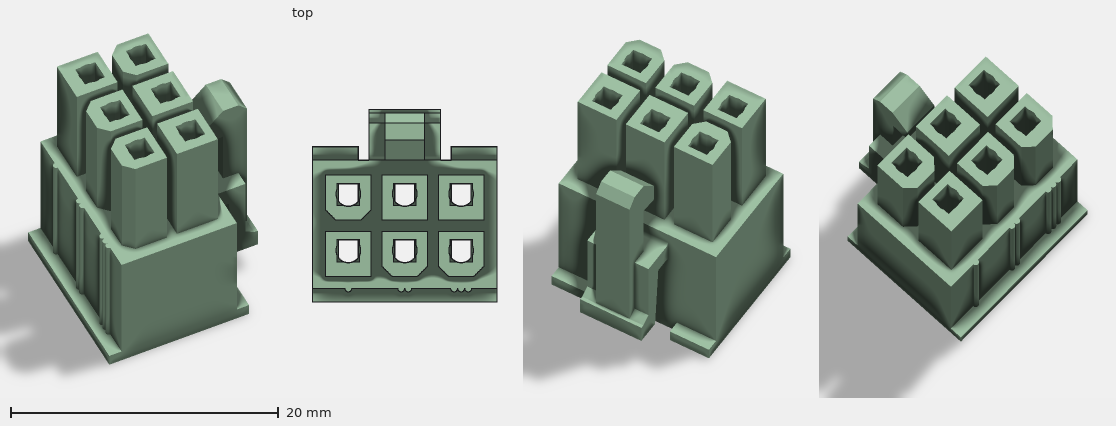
import cadquery as cq


width = 13.8
flange_depth = 11.62
flange_height = 0.98
body_front = 1.02
body_back = 10.6
body_top = 10.66
latch_gap_width = 6.94

overall_height = 19.6
pitch = 4.21
tower_side = 3.4
tower_chamfer = 0.76
towers_center_y = 5.7

socket_offset_y = 0.24
socket_side = 1.67
passage_radius = 0.92
passage_offset_y = 0.27
passage_width = 1.47
passage_back_inset = 0.04

rib_radius = 0.25
rib_pitch = 0.53

lever_width = 5.37
arm_width = 2.94
latch_back = 14.4
lever_back = 13.39
arm_back = 14.11
lever_bottom = 2.2
grip_top = 3.7
grip_slope_top = 4.15
grip_front = 12.45
bridge_bottom = 7.94
bridge_top = 9.47
lever_front_top = 12.0
root_fillet = 0.3
inner_fillet = 0.12
arm_front = 12.11
hook_top = 17.03
hook_back_chamfer = arm_back - lever_back
hook_lead_in = arm_front - body_back
hook_bottom = 14.0
hook_undercut = 0.18

columns = (-1, 0, 1)
rows = (-1, 1)
chamfered_towers = ((-1, 1), (0, -1), (1, -1))


def box(x_center, x_size, y_min, y_max, z_min, z_max):
    return (
        cq.Workplane("XY", origin=(x_center, (y_min + y_max) / 2, z_min))
        .rect(x_size, y_max - y_min)
        .extrude(z_max - z_min)
    )


def tower_center(column, row):
    return column * pitch, towers_center_y + row * pitch / 2


def make_base():
    flange = box(0, width, 0, flange_depth, 0, flange_height)
    latch_gap = box(0, latch_gap_width, body_back, flange_depth, 0, flange_height)
    body = box(0, width, body_front, body_back, 0, body_top)
    return flange.cut(latch_gap).union(body)


def make_ribs(column):
    """One rib on the first column, two on the second and three on the third."""
    count = column + 2
    first_x = column * pitch - (count - 1) * rib_pitch / 2
    centers = [(first_x + i * rib_pitch, body_front) for i in range(count)]
    return (
        cq.Workplane("XY", origin=(0, 0, flange_height))
        .pushPoints(centers)
        .circle(rib_radius)
        .extrude(body_top - flange_height)
    )


def make_tower(column, row):
    x, y = tower_center(column, row)
    half = tower_side / 2
    tower = box(x, tower_side, y - half, y + half, body_top, overall_height)
    if (column, row) in chamfered_towers:
        tower = tower.faces("<Y").edges("|Z").chamfer(tower_chamfer)
    return tower


def make_passage(column, row):
    """Square socket with bulging sides, over a narrower round-fronted passage through the body."""
    x, tower_y = tower_center(column, row)
    passage_y = tower_y + passage_offset_y
    bore_front = passage_y - passage_radius
    socket_front = tower_y + socket_offset_y - socket_side / 2
    socket_back = socket_front + socket_side
    passage_back = socket_back - passage_back_inset
    bore = cq.Workplane("XY", origin=(x, passage_y, 0)).circle(passage_radius).extrude(overall_height)

    bulge_limit = box(x, 2 * passage_radius, bore_front, socket_back, body_top, overall_height)
    socket = box(x, socket_side, socket_front, socket_back, body_top, overall_height)
    socket = socket.union(bore.intersect(bulge_limit))

    round_front = bore.intersect(box(x, passage_width, bore_front, passage_y, 0, overall_height))
    square_back = box(x, passage_width, passage_y, passage_back, 0, overall_height)
    return socket.union(round_front).union(square_back)


def extrude_latch_profile(points, x_size):
    return cq.Workplane("YZ").polyline(points).close().extrude(x_size / 2, both=True)


def make_lever():
    """Bridge from the body with a tapered finger grip hanging below it."""
    lever = extrude_latch_profile(
        [
            (body_back, bridge_top),
            (lever_back, bridge_top),
            (lever_back, grip_slope_top),
            (arm_back, grip_top),
            (latch_back, grip_top),
            (latch_back, lever_bottom),
            (grip_front, lever_bottom),
            (lever_front_top, bridge_bottom),
            (body_back, bridge_bottom),
        ],
        lever_width,
    )
    inner_corner = cq.selectors.NearestToPointSelector((0, lever_front_top, bridge_bottom))
    return lever.edges("|X").edges(inner_corner).fillet(inner_fillet)


def make_root_fillet(bridge_face, direction):
    """Concave strip between the body and the top (1) or bottom (-1) face of the bridge."""
    strip_edge = bridge_face + direction * root_fillet
    strip = extrude_latch_profile(
        [
            (body_back, bridge_face),
            (body_back + root_fillet, bridge_face),
            (body_back + root_fillet, strip_edge),
            (body_back, strip_edge),
        ],
        lever_width,
    )
    hollow = (
        cq.Workplane("YZ")
        .center(body_back + root_fillet, strip_edge)
        .circle(root_fillet)
        .extrude(lever_width / 2, both=True)
    )
    return strip.cut(hollow)


def make_arm():
    """Narrow upright arm with a hook facing the towers."""
    return extrude_latch_profile(
        [
            (arm_back, grip_top),
            (arm_back, hook_top - hook_back_chamfer),
            (arm_back - hook_back_chamfer, hook_top),
            (arm_front, hook_top),
            (body_back, hook_top - hook_lead_in),
            (body_back, hook_bottom),
            (arm_front, hook_bottom + hook_undercut),
            (arm_front, bridge_top),
            (lever_back, bridge_top),
            (lever_back, grip_slope_top),
        ],
        arm_width,
    )


result = make_base().union(make_lever()).union(make_arm())
result = result.union(make_root_fillet(bridge_top, 1))
result = result.union(make_root_fillet(bridge_bottom, -1))
for column in columns:
    result = result.union(make_ribs(column))
    for row in rows:
        result = result.union(make_tower(column, row))
        result = result.cut(make_passage(column, row))